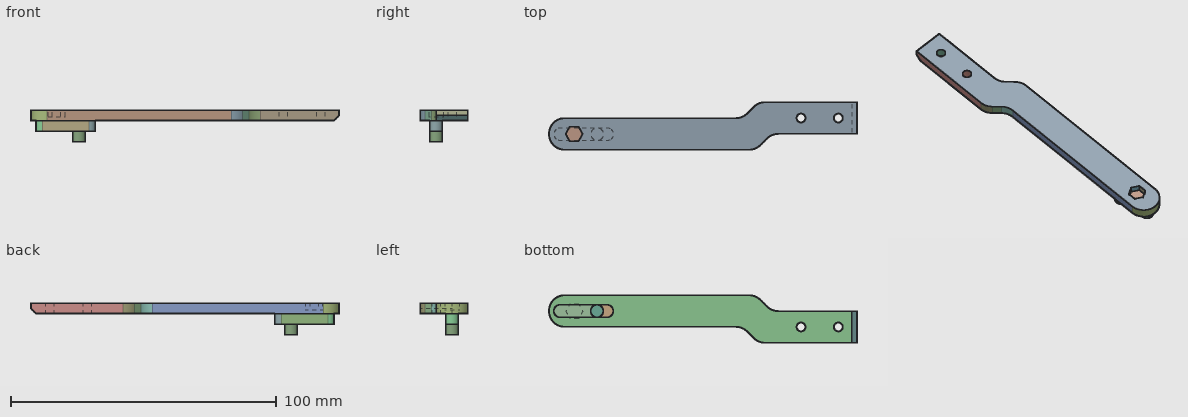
import cadquery as cq
import math

LENGTH = 116.0
TOTAL_WIDTH = 18.0
TOTAL_HEIGHT = 12.0
ARM_WIDTH = TOTAL_WIDTH * 2 / 3
END_RADIUS = ARM_WIDTH / 2
LAYER = TOTAL_HEIGHT / 3

JOG_OFFSET = TOTAL_WIDTH - ARM_WIDTH
JOG_ANGLE = 45.0
JOG_RADIUS = END_RADIUS
JOG_START = 77.8
JOG_RUN = JOG_OFFSET / math.tan(math.radians(JOG_ANGLE))
JOG_SHIFT = ARM_WIDTH * math.tan(math.radians(JOG_ANGLE / 2))

HOLE_DIAMETER = 3.2
HOLE_SPACING = 14.0
HOLE_END_DISTANCE = 7.1
TIP_CHAMFER = 2.0

HEX_X = 9.5
HEX_FLATS = 5.6
HEX_DEPTH = 2.5

KEY_START = 1.9
KEY_LENGTH = 22.4
KEY_WIDTH = 4.8
PIN_X = 18.1


def make_arm():
    y_low = -END_RADIUS
    y_high = END_RADIUS
    upper_start = JOG_START - JOG_SHIFT
    arm = (
        cq.Workplane("XY")
        .moveTo(END_RADIUS, y_low)
        .lineTo(JOG_START, y_low)
        .lineTo(JOG_START + JOG_RUN, y_low + JOG_OFFSET)
        .lineTo(LENGTH, y_low + JOG_OFFSET)
        .lineTo(LENGTH, y_high + JOG_OFFSET)
        .lineTo(upper_start + JOG_RUN, y_high + JOG_OFFSET)
        .lineTo(upper_start, y_high)
        .lineTo(END_RADIUS, y_high)
        .threePointArc((0, 0), (END_RADIUS, y_low))
        .close()
        .extrude(LAYER)
    )
    jog_middle = (JOG_START + upper_start + JOG_RUN) / 2
    jog_zone = cq.selectors.BoxSelector(
        (jog_middle - ARM_WIDTH, -TOTAL_WIDTH, 0),
        (jog_middle + ARM_WIDTH, TOTAL_WIDTH, LAYER),
    )
    arm = arm.edges("|Z").edges(jog_zone).fillet(JOG_RADIUS)
    return arm.faces(">X").edges("<Z").chamfer(TIP_CHAMFER)


def make_mounting_holes():
    outer_x = LENGTH - HOLE_END_DISTANCE
    centers = [(outer_x - i * HOLE_SPACING, JOG_OFFSET) for i in range(2)]
    return cq.Workplane("XY").pushPoints(centers).circle(HOLE_DIAMETER / 2).extrude(LAYER)


def make_hex_socket():
    corner_diameter = HEX_FLATS / math.cos(math.pi / 6)
    return (
        cq.Workplane("XY", origin=(HEX_X, 0, LAYER))
        .polygon(6, corner_diameter)
        .extrude(-HEX_DEPTH)
    )


def make_key():
    return (
        cq.Workplane("XY")
        .center(KEY_START + KEY_LENGTH / 2, 0)
        .slot2D(KEY_LENGTH, KEY_WIDTH)
        .extrude(-LAYER)
    )


def make_pin():
    return cq.Workplane("XY", origin=(PIN_X, 0, -LAYER)).circle(KEY_WIDTH / 2).extrude(-LAYER)


arm = make_arm().cut(make_mounting_holes()).cut(make_hex_socket())
result = arm.union(make_key()).union(make_pin())